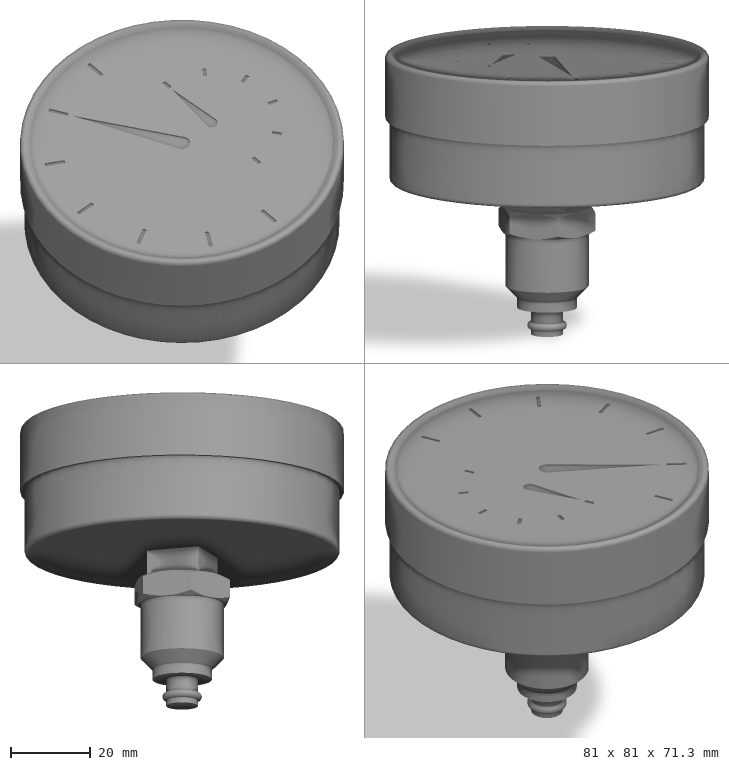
import cadquery as cq
import math

COLLAR_BOTTOM = 6.8
CONE_BOTTOM = 9.3
BARREL_BOTTOM = 12.4
HEX_BOTTOM = 26.0
HEX_TOP = 32.4
CASE_BOTTOM = 39.0
RIM_BOTTOM = 55.1
CASE_TOP = 71.3

RIM_RADIUS = 40.5
CASE_RADIUS = 39.45
CASE_FILLET = 1.0
RIM_ROUND = 1.05
DIAL_RADIUS = 37.8
BEVEL_ANGLE = math.radians(30)
BEVEL_TOP_RADIUS = RIM_RADIUS - RIM_ROUND - RIM_ROUND * math.sin(BEVEL_ANGLE)
BEVEL_TOP_Z = CASE_TOP - RIM_ROUND + RIM_ROUND * math.cos(BEVEL_ANGLE)
DIAL_Z = BEVEL_TOP_Z - (BEVEL_TOP_RADIUS - DIAL_RADIUS) * math.tan(BEVEL_ANGLE)

MARK_DEPTH = 0.5
MARK_WIDTH = 1.0
MAIN_MARK_OUTER = 35.0
MAIN_MARK_LENGTH = 5.0
MAIN_MARK_ANGLES = range(180, 361, 30)
MAIN_HAND_LENGTH = 29.0
MAIN_HAND_HUB_RADIUS = 2.0
MAIN_HAND_ANGLE = 210
SMALL_DIAL_Y = 10.0
SMALL_MARK_OUTER = 18.0
SMALL_MARK_LENGTH = 2.5
SMALL_MARK_ANGLES = range(0, 181, 36)
SMALL_HAND_LENGTH = 15.0
SMALL_HAND_HUB_RADIUS = 1.5
SMALL_HAND_ANGLE = 180

NECK_WIDTH = 13.8
HEX_FLATS = 22.0
HALF_HEX_STEP = math.pi / 6
HEX_BEVEL_ANGLE = math.radians(30)
BARREL_RADIUS = 10.45
COLLAR_RADIUS = 7.45
SPIGOT_RADIUS = 4.0

RING_SECTION_RADIUS = 1.0
RING_Z = 2.35


def mark_cutter(center_y, outer, length, angle):
    """Radial bar that sinks one scale mark into the dial."""
    return (
        cq.Workplane("XY")
        .center(outer - length / 2, 0)
        .rect(length, MARK_WIDTH)
        .extrude(MARK_DEPTH)
        .rotate((0, 0, 0), (0, 0, 1), angle)
        .translate((0, center_y, DIAL_Z - MARK_DEPTH))
    )


def hand_cutter(center_y, length, hub_radius, angle):
    """Teardrop hand: a pointed tip whose sides run tangent into a round hub."""
    tangent_x = hub_radius**2 / length
    tangent_y = math.sqrt(hub_radius**2 - tangent_x**2)
    return (
        cq.Workplane("XY")
        .moveTo(length, 0)
        .lineTo(tangent_x, tangent_y)
        .threePointArc((-hub_radius, 0), (tangent_x, -tangent_y))
        .close()
        .extrude(MARK_DEPTH)
        .rotate((0, 0, 0), (0, 0, 1), angle)
        .translate((0, center_y, DIAL_Z - MARK_DEPTH))
    )


def make_case():
    """Round case with a rounded rim, a bevel down to the dial face, and sunken markings."""
    case = (
        cq.Workplane("XZ")
        .moveTo(0, CASE_BOTTOM)
        .lineTo(CASE_RADIUS, CASE_BOTTOM)
        .lineTo(CASE_RADIUS, RIM_BOTTOM)
        .lineTo(RIM_RADIUS, RIM_BOTTOM)
        .lineTo(RIM_RADIUS, CASE_TOP - RIM_ROUND)
        .threePointArc((RIM_RADIUS - RIM_ROUND, CASE_TOP), (BEVEL_TOP_RADIUS, BEVEL_TOP_Z))
        .lineTo(DIAL_RADIUS, DIAL_Z)
        .lineTo(0, DIAL_Z)
        .close()
        .revolve(360, (0, 0), (0, 1))
    )
    case = case.faces("<Z").edges().fillet(CASE_FILLET)
    for angle in MAIN_MARK_ANGLES:
        case = case.cut(mark_cutter(0, MAIN_MARK_OUTER, MAIN_MARK_LENGTH, angle))
    for angle in SMALL_MARK_ANGLES:
        case = case.cut(mark_cutter(SMALL_DIAL_Y, SMALL_MARK_OUTER, SMALL_MARK_LENGTH, angle))
    case = case.cut(hand_cutter(0, MAIN_HAND_LENGTH, MAIN_HAND_HUB_RADIUS, MAIN_HAND_ANGLE))
    return case.cut(hand_cutter(SMALL_DIAL_Y, SMALL_HAND_LENGTH, SMALL_HAND_HUB_RADIUS, SMALL_HAND_ANGLE))


def make_o_ring():
    """O-ring whose section is centred on the surface of the spigot."""
    return (
        cq.Workplane("XZ")
        .center(SPIGOT_RADIUS, RING_Z)
        .circle(RING_SECTION_RADIUS)
        .revolve(360, (-SPIGOT_RADIUS, 0), (-SPIGOT_RADIUS, 1))
    )


def make_hex():
    """Hexagon with flats facing +X and -X, its corners bevelled at both ends."""
    height = HEX_TOP - HEX_BOTTOM
    flat_radius = HEX_FLATS / 2
    corner_radius = flat_radius / math.cos(HALF_HEX_STEP)
    bevel = (corner_radius - flat_radius) * math.tan(HEX_BEVEL_ANGLE)
    prism = (
        cq.Workplane("XY")
        .polygon(6, 2 * corner_radius)
        .extrude(height)
        .rotate((0, 0, 0), (0, 0, 1), math.degrees(HALF_HEX_STEP))
    )
    envelope = (
        cq.Workplane("XZ")
        .moveTo(0, 0)
        .lineTo(flat_radius, 0)
        .lineTo(corner_radius, bevel)
        .lineTo(corner_radius, height - bevel)
        .lineTo(flat_radius, height)
        .lineTo(0, height)
        .close()
        .revolve(360, (0, 0), (0, 1))
    )
    return prism.intersect(envelope).translate((0, 0, HEX_BOTTOM))


def make_stem(o_ring):
    """Square neck, hexagon, turned barrel and a spigot grooved for the O-ring."""
    turned = (
        cq.Workplane("XZ")
        .moveTo(0, 0)
        .lineTo(SPIGOT_RADIUS, 0)
        .lineTo(SPIGOT_RADIUS, COLLAR_BOTTOM)
        .lineTo(COLLAR_RADIUS, COLLAR_BOTTOM)
        .lineTo(COLLAR_RADIUS, CONE_BOTTOM)
        .lineTo(BARREL_RADIUS, BARREL_BOTTOM)
        .lineTo(BARREL_RADIUS, HEX_BOTTOM)
        .lineTo(0, HEX_BOTTOM)
        .close()
        .revolve(360, (0, 0), (0, 1))
    )
    neck = (
        cq.Workplane("XY")
        .workplane(offset=HEX_TOP)
        .rect(NECK_WIDTH, NECK_WIDTH)
        .extrude(CASE_BOTTOM - HEX_TOP)
    )
    return turned.union(make_hex()).union(neck).cut(o_ring)


case = make_case()
o_ring = make_o_ring()
stem = make_stem(o_ring)

result = cq.Compound.makeCompound([case.val(), stem.val(), o_ring.val()])